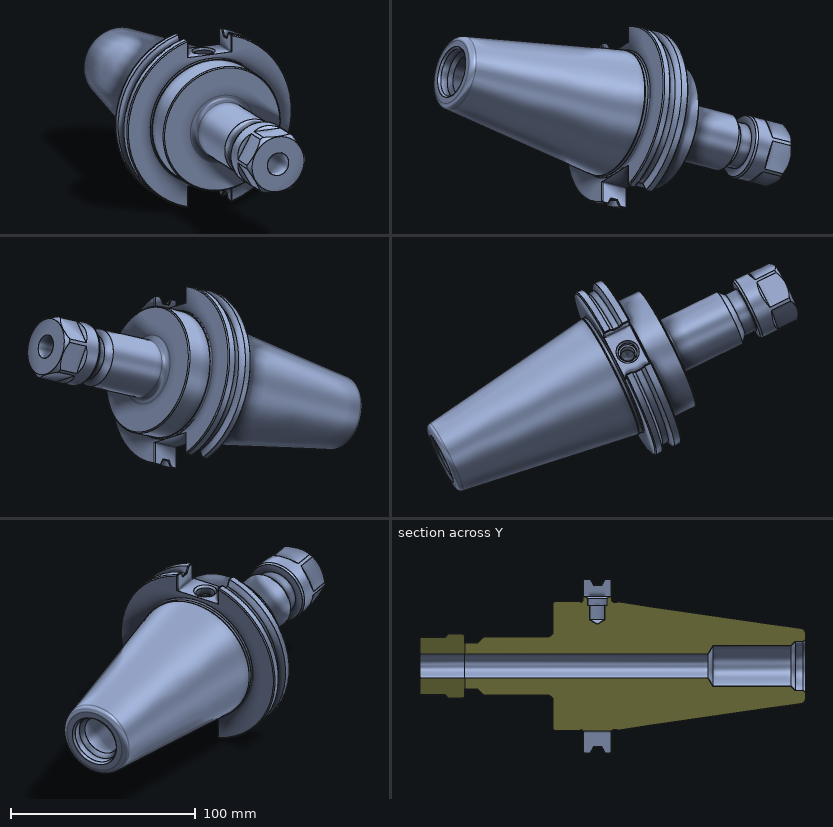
import cadquery as cq
import math


GAUGE_DIA = 70.0
TAPER_END = 101.7
TAPER_RATIO = 7 / 24
SMALL_END_FILLET = 3.1

FLANGE_DIA = 98.3
FLANGE_START = 104.8
FLANGE_WIDTH = 15.9
FLANGE_MIDDLE = FLANGE_START + FLANGE_WIDTH / 2
FLANGE_CHAMFER = 0.6
RELIEF_DIA = 69.3
RELIEF_STEP = 0.6
RELIEF_FILLET = 0.8
HUB_START_GAP = 1.0
GROOVE_MIDDLE = 112.5
GROOVE_DEPTH = 3.3
GROOVE_FLOOR_WIDTH = 3.5
GROOVE_HALF_ANGLE = 30

SLOT_WIDTH = 25.7
SLOT_CHAMFER = 0.52
SLOT_CORNER_FILLET = 0.5
FLOOR_TOLERANCE = 0.02
UPPER_SLOT_FLOOR = 37.5
LOWER_SLOT_FLOOR = 35.3

HOLE_MOUTH_DIA = 12.5
HOLE_THREAD_DIA = 10.2
HOLE_DRILL_DIA = 8.0
HOLE_THREAD_DEPTH = 4.8
HOLE_DRILL_DEPTH = 12.5
DRILL_POINT_ANGLE = 118

HUB_END = 136.8
HUB_CHAMFER = 0.6
SHANK_DIA = 31.7
SHANK_BASE_FILLET = 3.1
SHANK_END = 174.3
NECK_DIA = 25.0
NECK_START = 177.7

BORE_MOUTH_DIA = 28.2
BORE_MOUTH_LENGTH = 1.5
COUNTERBORE_DIA = 26.3
COUNTERBORE_LENGTH = 4.2
BORE_DIA = 22.0
BORE_DEPTH = 50.1
THROUGH_DIA = 12.7

NUT_START = 184.5
NUT_END = 208.8
NUT_DIA = 35.0
NUT_BACK_CHAMFER = 0.6
NUT_BACK_CHAMFER_LENGTH = 1.3
NUT_FACE_DIA = 31.0
NUT_FACE_CHAMFER_LENGTH = 2.0
HEX_SIDES = 6
HEX_START = 195.0
HEX_RUNOUT = 1.5
HEX_ACROSS_FLATS = 31.3

ARC_MIDDLE = 1 - math.sqrt(0.5)


def revolve_about_x(points):
    """Solid of revolution from (x, radius) points."""
    return cq.Workplane("XY").polyline(points).close().revolve(360, (0, 0, 0), (1, 0, 0))


def drill_point_length(radius_drop):
    return radius_drop / math.tan(math.radians(DRILL_POINT_ANGLE / 2))


def make_holder_blank():
    gauge_r = GAUGE_DIA / 2
    small_r = gauge_r - TAPER_END * TAPER_RATIO / 2
    relief_r = RELIEF_DIA / 2
    flange_r = FLANGE_DIA / 2
    flange_end = FLANGE_START + FLANGE_WIDTH
    hub_start = flange_end + HUB_START_GAP
    floor_r = flange_r - GROOVE_DEPTH
    floor_half = GROOVE_FLOOR_WIDTH / 2
    mouth_half = floor_half + GROOVE_DEPTH * math.tan(math.radians(GROOVE_HALF_ANGLE))
    shank_r = SHANK_DIA / 2
    neck_r = NECK_DIA / 2
    base_r = shank_r + SHANK_BASE_FILLET
    base_bend = SHANK_BASE_FILLET * ARC_MIDDLE
    fillet_bend = RELIEF_FILLET * ARC_MIDDLE

    profile = (
        cq.Workplane("XY")
        .moveTo(0, 0)
        .lineTo(0, small_r)
        .lineTo(TAPER_END, gauge_r)
        .lineTo(TAPER_END + RELIEF_STEP, relief_r)
        .lineTo(FLANGE_START - RELIEF_FILLET, relief_r)
        .threePointArc(
            (FLANGE_START - fillet_bend, relief_r + fillet_bend),
            (FLANGE_START, relief_r + RELIEF_FILLET),
        )
        .lineTo(FLANGE_START, flange_r - FLANGE_CHAMFER)
        .lineTo(FLANGE_START + FLANGE_CHAMFER, flange_r)
        .lineTo(GROOVE_MIDDLE - mouth_half, flange_r)
        .lineTo(GROOVE_MIDDLE - floor_half, floor_r)
        .lineTo(GROOVE_MIDDLE + floor_half, floor_r)
        .lineTo(GROOVE_MIDDLE + mouth_half, flange_r)
        .lineTo(flange_end - FLANGE_CHAMFER, flange_r)
        .lineTo(flange_end, flange_r - FLANGE_CHAMFER)
        .lineTo(flange_end, relief_r + RELIEF_FILLET)
        .threePointArc(
            (flange_end + fillet_bend, relief_r + fillet_bend),
            (flange_end + RELIEF_FILLET, relief_r),
        )
        .lineTo(hub_start, relief_r)
        .lineTo(hub_start, gauge_r)
        .lineTo(HUB_END - HUB_CHAMFER, gauge_r)
        .lineTo(HUB_END, gauge_r - HUB_CHAMFER)
        .lineTo(HUB_END, base_r)
        .threePointArc(
            (HUB_END + base_bend, shank_r + base_bend),
            (HUB_END + SHANK_BASE_FILLET, shank_r),
        )
        .lineTo(SHANK_END, shank_r)
        .lineTo(NECK_START, neck_r)
        .lineTo(NUT_START, neck_r)
        .lineTo(NUT_START, 0)
        .close()
    )
    blank = profile.revolve(360, (0, 0, 0), (1, 0, 0))
    return blank.faces("<X").edges().fillet(SMALL_END_FILLET)


def make_bore():
    mouth_r = BORE_MOUTH_DIA / 2
    counterbore_r = COUNTERBORE_DIA / 2
    bore_r = BORE_DIA / 2
    through_r = THROUGH_DIA / 2
    counterbore_end = BORE_MOUTH_LENGTH + COUNTERBORE_LENGTH
    bore_start = counterbore_end + counterbore_r - bore_r
    return revolve_about_x([
        (0, 0),
        (0, mouth_r),
        (BORE_MOUTH_LENGTH, counterbore_r),
        (counterbore_end, counterbore_r),
        (bore_start, bore_r),
        (BORE_DEPTH, bore_r),
        (BORE_DEPTH + drill_point_length(bore_r - through_r), through_r),
        (NUT_START, through_r),
        (NUT_START, 0),
    ])


def make_slot(floor, side):
    """Slot across the flange; side is +1 above the axis and -1 below it."""
    depth = FLANGE_DIA / 2 - floor
    return (
        cq.Workplane("XY")
        .box(FLANGE_WIDTH + 2 * RELIEF_FILLET, SLOT_WIDTH, depth)
        .translate((FLANGE_MIDDLE, 0, side * (floor + depth / 2)))
    )


def is_floor_edge(edge):
    """True for a straight edge lying in either slot floor."""
    z = edge.Center().z
    return any(abs(z - floor_z) < FLOOR_TOLERANCE for floor_z in (UPPER_SLOT_FLOOR, -LOWER_SLOT_FLOOR))


def finish_slots(body):
    """Break the free edges of the slot walls, then round the corners along the slot floors."""
    chamfered = body.faces("|Y").edges().filter(lambda edge: not is_floor_edge(edge)).chamfer(SLOT_CHAMFER)
    return chamfered.faces("|Y").edges("|X").filter(is_floor_edge).fillet(SLOT_CORNER_FILLET)


def make_flange_hole():
    mouth_r = HOLE_MOUTH_DIA / 2
    thread_r = HOLE_THREAD_DIA / 2
    drill_r = HOLE_DRILL_DIA / 2
    hole = (
        cq.Workplane("XZ")
        .polyline([
            (0, 0),
            (mouth_r, 0),
            (thread_r, thread_r - mouth_r),
            (thread_r, -HOLE_THREAD_DEPTH),
            (drill_r, -HOLE_THREAD_DEPTH),
            (drill_r, -HOLE_DRILL_DEPTH),
            (0, -HOLE_DRILL_DEPTH - drill_point_length(drill_r)),
        ])
        .close()
        .revolve(360, (0, 0, 0), (0, 1, 0))
    )
    return hole.translate((FLANGE_MIDDLE, 0, UPPER_SLOT_FLOOR))


def make_holder():
    slotted = (
        make_holder_blank()
        .cut(make_slot(UPPER_SLOT_FLOOR, 1))
        .cut(make_slot(LOWER_SLOT_FLOOR, -1))
    )
    return finish_slots(slotted).cut(make_bore()).cut(make_flange_hole())


def make_nut():
    nut_r = NUT_DIA / 2
    flat_r = HEX_ACROSS_FLATS / 2
    bore_r = THROUGH_DIA / 2
    nut = revolve_about_x([
        (NUT_START, bore_r),
        (NUT_START, nut_r - NUT_BACK_CHAMFER),
        (NUT_START + NUT_BACK_CHAMFER_LENGTH, nut_r),
        (NUT_END - NUT_FACE_CHAMFER_LENGTH, nut_r),
        (NUT_END, NUT_FACE_DIA / 2),
        (NUT_END, bore_r),
    ])
    slope_start = HEX_START - HEX_RUNOUT
    flat_cutter = (
        cq.Workplane("XZ")
        .polyline([
            (slope_start, nut_r),
            (HEX_START, flat_r),
            (NUT_END, flat_r),
            (NUT_END, nut_r),
        ])
        .close()
        .extrude(nut_r, both=True)
    )
    for index in range(HEX_SIDES):
        nut = nut.cut(flat_cutter.rotate((0, 0, 0), (1, 0, 0), index * 360 / HEX_SIDES))
    return nut


holder = make_holder()
nut = make_nut()

result = cq.Compound.makeCompound([holder.val(), nut.val()])